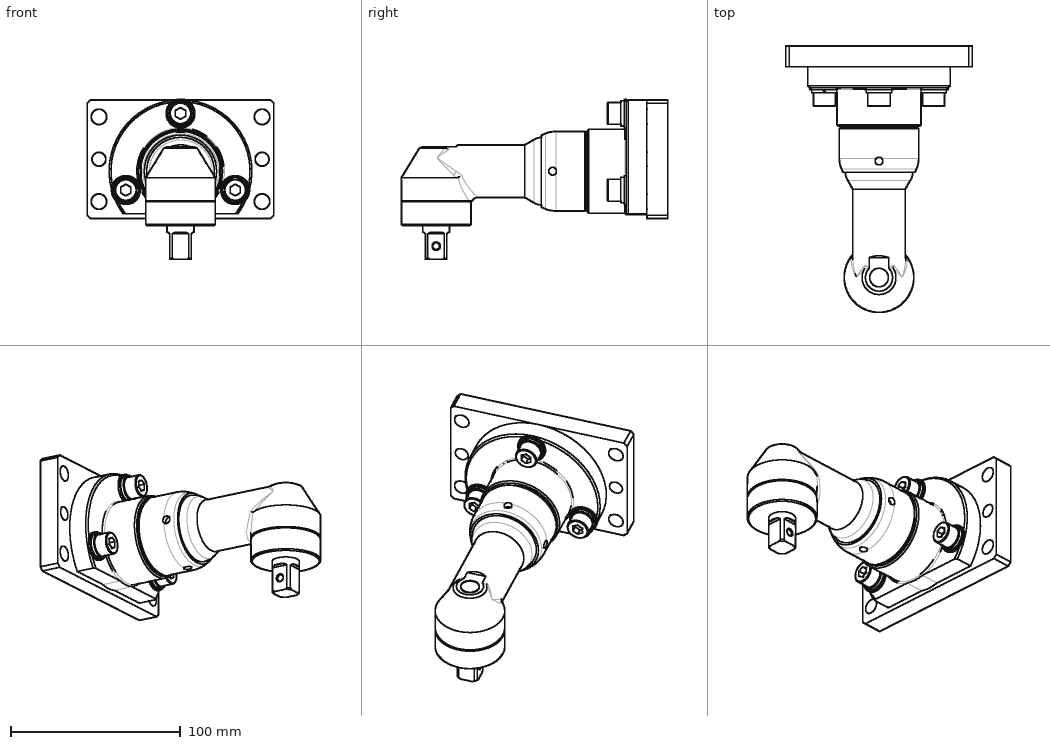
import cadquery as cq
import math


PLATE_WIDTH = 110.0
PLATE_HEIGHT = 70.0
PLATE_THICKNESS = 12.2
PLATE_CORNER_CHAMFER = 2.0
PLATE_TOP = 42.0
PLATE_CENTER_Z = PLATE_TOP - PLATE_HEIGHT / 2
HOLE_OFFSET_X = 48.0
HOLE_PITCH_Z = 25.0
CORNER_HOLE_DIAMETER = 9.0
MIDDLE_HOLE_DIAMETER = 8.0

FLANGE_RADIUS = PLATE_TOP
FLANGE_REACH = 24.5
FLANGE_CHAMFER = 1.1
FLANGE_FLAT_Z = -25.0

COLLAR_RADIUS = 24.8
COLLAR_REACH = 47.4
COLLAR_FILLET = 1.0
COLLAR_CHAMFER = 1.0
NECK_RADIUS = 22.5
NECK_WIDTH = 0.6
BODY_RADIUS = 23.5
BODY_CHAMFER = 0.8
BODY_STRAIGHT_REACH = 66.1
BODY_ROUND_RADIUS = 15.0
BODY_ROUND_LENGTH = 6.1
BODY_REACH = 74.4
NOSE_RADIUS = 20.0
NOSE_ROUND_RADIUS = 8.5
NOSE_ROUND_LENGTH = 4.5
NOSE_REACH = 84.3
TUBE_RADIUS = 15.5

PIN_HOLE_DIAMETER = 4.5
PIN_HOLE_REACH = 67.8
PIN_HOLE_DEPTH = 3.1

TOTAL_LENGTH = 157.0
HEAD_RADIUS = 20.5
HEAD_AXIS_Y = HEAD_RADIUS - TOTAL_LENGTH
HEAD_TOP = 14.5
HEAD_TOP_RADIUS = 8.0
HEAD_TOP_CHAMFER = 1.0
HEAD_SHOULDER_Z = -4.0
HEAD_BOTTOM = -32.0
HEAD_BOTTOM_CHAMFER = 0.8
HEAD_GROOVE_Z = -17.7
HEAD_GROOVE_WIDTH = 0.6
HEAD_GROOVE_DEPTH = 0.5
HEAD_FILLET = 4.0
CONE_CLEARANCE = 0.02
PLUG_RADIUS = 5.5
PLUG_RECESS = 0.5
FLAT_REACH = 124.7

SPINDLE_RADIUS = 8.0
SPINDLE_SHOULDER_Z = -36.0
SPINDLE_BOTTOM = -52.0
SPINDLE_CHAMFER = 0.8
SQUARE_SIZE = 12.7
SQUARE_FLARE = 1.0
CROSS_HOLE_Z = -44.1
CROSS_HOLE_DIAMETER = 4.0
CROSS_HOLE_MOUTH_DIAMETER = 4.9

SCREW_CIRCLE_RADIUS = 34.0
SCREW_PLACEMENTS = ((90, 180), (199, 0), (341, 180))
WASHER_RADIUS = 8.5
WASHER_THICKNESS = 1.3
SPRING_WASHER_RADIUS = 7.5
SPRING_WASHER_THICKNESS = 1.9
SPRING_GAP_WIDTH = 0.5
SPRING_GAP_LEAN = 0.6
SCREW_HEAD_DIAMETER = 13.0
SCREW_HEAD_RADIUS = SCREW_HEAD_DIAMETER / 2
SCREW_HEAD_REACH = 35.6
SCREW_HEAD_CHAMFER = 0.5
SOCKET_FLATS = 6.0
SOCKET_DEPTH = 4.0
SOCKET_POINT_DEPTH = 1.9

EMBED = 0.8


def plate():
    hole_xs = (-HOLE_OFFSET_X, HOLE_OFFSET_X)
    corner_points = [(x, z) for x in hole_xs for z in (-HOLE_PITCH_Z, HOLE_PITCH_Z)]
    middle_points = [(x, 0) for x in hole_xs]
    return (
        cq.Workplane("XZ", origin=(0, 0, PLATE_CENTER_Z))
        .rect(PLATE_WIDTH, PLATE_HEIGHT)
        .extrude(PLATE_THICKNESS)
        .edges("|Y")
        .chamfer(PLATE_CORNER_CHAMFER)
        .faces("<Y")
        .workplane(origin=(0, 0, PLATE_CENTER_Z))
        .pushPoints(corner_points)
        .hole(CORNER_HOLE_DIAMETER)
        .pushPoints(middle_points)
        .hole(MIDDLE_HOLE_DIAMETER)
    )


def flange():
    depth = FLANGE_REACH - PLATE_THICKNESS
    disc = (
        cq.Workplane("XZ", origin=(0, -PLATE_THICKNESS, 0))
        .circle(FLANGE_RADIUS)
        .extrude(depth)
        .faces("<Y")
        .chamfer(FLANGE_CHAMFER)
    )
    keep = cq.Workplane("XY", origin=(0, 0, FLANGE_FLAT_Z)).box(
        2 * FLANGE_RADIUS, 2 * FLANGE_REACH, FLANGE_RADIUS - FLANGE_FLAT_Z, centered=(True, True, False)
    )
    return disc.intersect(keep)


def round_over(start_radius, start_reach, arc_radius, length, turn=1.0):
    """Point on an arc that leaves a cylinder tangentially, at the given fraction of its angle."""
    angle = math.asin(length / arc_radius) * turn
    radius = start_radius - arc_radius * (1 - math.cos(angle))
    return (radius, -start_reach - arc_radius * math.sin(angle))


def body():
    neck_end = COLLAR_REACH + NECK_WIDTH
    body_round = (BODY_RADIUS, BODY_STRAIGHT_REACH, BODY_ROUND_RADIUS, BODY_ROUND_LENGTH)
    nose_round = (NOSE_RADIUS, BODY_REACH, NOSE_ROUND_RADIUS, NOSE_ROUND_LENGTH)
    round_end_radius, round_end_y = round_over(*body_round)
    round_end_slope = math.tan(math.asin(BODY_ROUND_LENGTH / BODY_ROUND_RADIUS))
    body_end_radius = round_end_radius - (BODY_REACH + round_end_y) * round_end_slope
    fillet_middle = COLLAR_FILLET * (1 - math.sqrt(0.5))
    return (
        cq.Workplane("XY")
        .moveTo(0, -PLATE_THICKNESS)
        .lineTo(COLLAR_RADIUS + COLLAR_FILLET, -PLATE_THICKNESS)
        .lineTo(COLLAR_RADIUS + COLLAR_FILLET, -FLANGE_REACH)
        .threePointArc(
            (COLLAR_RADIUS + fillet_middle, -FLANGE_REACH - fillet_middle),
            (COLLAR_RADIUS, -FLANGE_REACH - COLLAR_FILLET),
        )
        .lineTo(COLLAR_RADIUS, COLLAR_CHAMFER - COLLAR_REACH)
        .lineTo(COLLAR_RADIUS - COLLAR_CHAMFER, -COLLAR_REACH)
        .lineTo(NECK_RADIUS, -COLLAR_REACH)
        .lineTo(NECK_RADIUS, -neck_end)
        .lineTo(BODY_RADIUS - BODY_CHAMFER, -neck_end)
        .lineTo(BODY_RADIUS, -neck_end - BODY_CHAMFER)
        .lineTo(BODY_RADIUS, -BODY_STRAIGHT_REACH)
        .threePointArc(round_over(*body_round, turn=0.5), (round_end_radius, round_end_y))
        .lineTo(body_end_radius, -BODY_REACH)
        .lineTo(NOSE_RADIUS, -BODY_REACH)
        .threePointArc(round_over(*nose_round, turn=0.5), round_over(*nose_round))
        .lineTo(TUBE_RADIUS, -NOSE_REACH)
        .lineTo(TUBE_RADIUS, HEAD_AXIS_Y)
        .lineTo(0, HEAD_AXIS_Y)
        .close()
        .revolve(360, (0, 0, 0), (0, 1, 0))
    )


def pin_holes():
    drill = cq.Workplane("XY", origin=(0, -PIN_HOLE_REACH, BODY_RADIUS - PIN_HOLE_DEPTH))
    drill = drill.circle(PIN_HOLE_DIAMETER / 2).extrude(2 * PIN_HOLE_DEPTH)
    holes = cq.Workplane("XY")
    for angle in (0, 90, 180, 270):
        holes = holes.add(drill.rotate((0, 0, 0), (0, 1, 0), angle))
    return holes.combine()


def head():
    inner_sphere_radius = TUBE_RADIUS + CONE_CLEARANCE
    shoulder_distance = math.hypot(HEAD_RADIUS, HEAD_SHOULDER_Z)
    shoulder_angle = math.atan2(-HEAD_SHOULDER_Z, HEAD_RADIUS)
    cone_angle = math.acos(inner_sphere_radius / shoulder_distance) - shoulder_angle
    cone_top = HEAD_TOP - HEAD_TOP_CHAMFER
    cone_top_radius = HEAD_RADIUS - (cone_top - HEAD_SHOULDER_Z) * math.tan(cone_angle)
    return (
        cq.Workplane("XZ", origin=(0, HEAD_AXIS_Y, 0))
        .moveTo(0, HEAD_TOP)
        .lineTo(HEAD_TOP_RADIUS, HEAD_TOP)
        .lineTo(cone_top_radius, cone_top)
        .lineTo(HEAD_RADIUS, HEAD_SHOULDER_Z)
        .lineTo(HEAD_RADIUS, HEAD_BOTTOM + HEAD_BOTTOM_CHAMFER)
        .lineTo(HEAD_RADIUS - HEAD_BOTTOM_CHAMFER, HEAD_BOTTOM)
        .lineTo(0, HEAD_BOTTOM)
        .close()
        .revolve(360, (0, 0, 0), (0, 1, 0))
    )


def head_groove():
    return (
        cq.Workplane("XY", origin=(0, HEAD_AXIS_Y, HEAD_GROOVE_Z - HEAD_GROOVE_WIDTH / 2))
        .circle(HEAD_RADIUS + HEAD_GROOVE_DEPTH)
        .circle(HEAD_RADIUS - HEAD_GROOVE_DEPTH)
        .extrude(HEAD_GROOVE_WIDTH)
    )


def tube_flat():
    rise = TUBE_RADIUS
    return (
        cq.Workplane("YZ")
        .moveTo(-FLAT_REACH, HEAD_TOP)
        .lineTo(rise - FLAT_REACH, HEAD_TOP + rise)
        .lineTo(HEAD_AXIS_Y - rise, HEAD_TOP + rise)
        .lineTo(HEAD_AXIS_Y - rise, HEAD_TOP)
        .close()
        .extrude(TUBE_RADIUS, both=True)
    )


def plug_recess():
    return (
        cq.Workplane("XY", origin=(0, HEAD_AXIS_Y, HEAD_TOP - PLUG_RECESS))
        .circle(PLUG_RADIUS)
        .extrude(2 * PLUG_RECESS)
    )


def spindle():
    round_bar = (
        cq.Workplane("XY", origin=(0, HEAD_AXIS_Y, SPINDLE_BOTTOM))
        .circle(SPINDLE_RADIUS)
        .extrude(HEAD_BOTTOM + EMBED - SPINDLE_BOTTOM)
    )
    square = (
        cq.Workplane("XY", origin=(0, HEAD_AXIS_Y, SPINDLE_SHOULDER_Z))
        .rect(SQUARE_SIZE + 2 * SQUARE_FLARE, SQUARE_SIZE + 2 * SQUARE_FLARE)
        .workplane(offset=-SQUARE_FLARE)
        .rect(SQUARE_SIZE, SQUARE_SIZE)
        .loft(ruled=True)
        .faces("<Z")
        .wires()
        .toPending()
        .workplane()
        .extrude(SPINDLE_SHOULDER_Z - SQUARE_FLARE - SPINDLE_BOTTOM)
    )
    collar = (
        cq.Workplane("XY", origin=(0, HEAD_AXIS_Y, SPINDLE_SHOULDER_Z))
        .circle(SPINDLE_RADIUS)
        .extrude(HEAD_BOTTOM + EMBED - SPINDLE_SHOULDER_Z)
    )
    drive = round_bar.faces("<Z").chamfer(SPINDLE_CHAMFER).intersect(square.union(collar))
    return drive.cut(cross_hole())


def cross_hole():
    mouth_x = SQUARE_SIZE / 2
    mouth_radius = CROSS_HOLE_MOUTH_DIAMETER / 2
    hole_radius = CROSS_HOLE_DIAMETER / 2
    throat_x = mouth_x - (mouth_radius - hole_radius)
    return (
        cq.Workplane("XY", origin=(0, HEAD_AXIS_Y, CROSS_HOLE_Z))
        .polyline(
            [
                (-mouth_x, 0),
                (-mouth_x, mouth_radius),
                (-throat_x, hole_radius),
                (throat_x, hole_radius),
                (mouth_x, mouth_radius),
                (mouth_x, 0),
            ]
        )
        .close()
        .revolve(360, (0, 0, 0), (1, 0, 0))
    )


def screw():
    washer_end = FLANGE_REACH + WASHER_THICKNESS
    spring_washer_end = washer_end + SPRING_WASHER_THICKNESS
    turned = (
        cq.Workplane("XY")
        .moveTo(0, EMBED - FLANGE_REACH)
        .lineTo(SCREW_HEAD_RADIUS, EMBED - FLANGE_REACH)
        .lineTo(SCREW_HEAD_RADIUS, -FLANGE_REACH)
        .lineTo(WASHER_RADIUS, -FLANGE_REACH)
        .lineTo(WASHER_RADIUS, -washer_end)
        .lineTo(SPRING_WASHER_RADIUS, -washer_end)
        .lineTo(SPRING_WASHER_RADIUS, -spring_washer_end)
        .lineTo(SCREW_HEAD_RADIUS, -spring_washer_end)
        .lineTo(SCREW_HEAD_RADIUS, SCREW_HEAD_CHAMFER - SCREW_HEAD_REACH)
        .lineTo(SCREW_HEAD_RADIUS - SCREW_HEAD_CHAMFER, -SCREW_HEAD_REACH)
        .lineTo(0, -SCREW_HEAD_REACH)
        .close()
        .revolve(360, (0, 0, 0), (0, 1, 0))
    )
    return turned.cut(hex_socket()).cut(spring_washer_gap(washer_end, spring_washer_end))


def spring_washer_gap(start_reach, end_reach):
    start_left = -SPRING_GAP_LEAN - SPRING_GAP_WIDTH / 2
    end_left = SPRING_GAP_LEAN - SPRING_GAP_WIDTH / 2
    return (
        cq.Workplane("XY", origin=(0, 0, SCREW_HEAD_RADIUS))
        .moveTo(start_left, -start_reach)
        .lineTo(start_left + SPRING_GAP_WIDTH, -start_reach)
        .lineTo(end_left + SPRING_GAP_WIDTH, -end_reach)
        .lineTo(end_left, -end_reach)
        .close()
        .extrude(SPRING_WASHER_RADIUS - SCREW_HEAD_RADIUS)
    )


def hex_socket():
    corner_radius = SOCKET_FLATS / math.sqrt(3)
    floor_y = SOCKET_DEPTH - SCREW_HEAD_REACH
    hexagon = (
        cq.Workplane("XZ", origin=(0, floor_y + SOCKET_POINT_DEPTH, 0))
        .transformed(rotate=(0, 0, 30))
        .polygon(6, 2 * corner_radius)
        .extrude(SOCKET_DEPTH + SOCKET_POINT_DEPTH)
    )
    drill = (
        cq.Workplane("XY")
        .moveTo(0, floor_y + SOCKET_POINT_DEPTH)
        .lineTo(corner_radius, floor_y)
        .lineTo(corner_radius, -SCREW_HEAD_REACH)
        .lineTo(0, -SCREW_HEAD_REACH)
        .close()
        .revolve(360, (0, 0, 0), (0, 1, 0))
    )
    return hexagon.intersect(drill)


arm = body().union(head())
arm = arm.edges("%BSPLINE").fillet(HEAD_FILLET)
arm = arm.cut(tube_flat()).cut(pin_holes()).cut(head_groove()).cut(plug_recess())

assembly = plate().union(flange()).union(arm).union(spindle())
for placement_angle, own_turn in SCREW_PLACEMENTS:
    screw_x = SCREW_CIRCLE_RADIUS * math.cos(math.radians(placement_angle))
    screw_z = SCREW_CIRCLE_RADIUS * math.sin(math.radians(placement_angle))
    turned_screw = screw().rotate((0, 0, 0), (0, 1, 0), own_turn)
    assembly = assembly.union(turned_screw.translate((screw_x, 0, screw_z)))

result = cq.Workplane(assembly.solids().val())